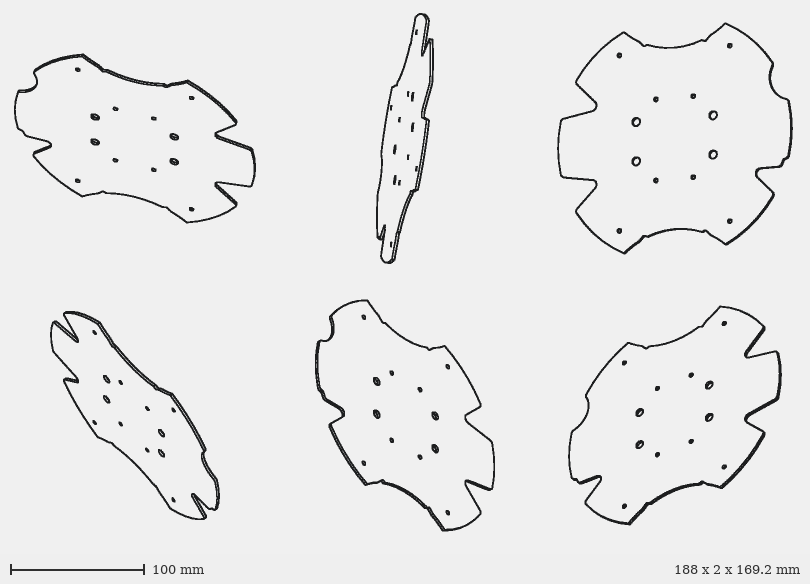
import cadquery as cq
import math

plate_radius = 94.0
thickness = 2.0

scallop_radius = 62.8
scallop_center_z = 132.2
nick_outer = (29.2, 76.7)
nick_root = (24.8, 72.2)
nick_inner = (22.2, 73.45)
nick_root_radius = 1.1

bite_radius = 18.2
bite_center_x = -94.8
bite_center_z = 40.3

flank_offset = 31.2
notch_root_radius = 4.0
notch_reach = 112.9
tab_flank_angle = 9.5
tab_flank_at_center = 37.5

level_flank_z = -28.5
step_corner_x = -85.5
step_top_x = -87.8
step_corner_radius = 2.8
step_top_radius = 1.1

tip_radius = 2.8

small_hole_diameter = 3.0
large_hole_diameter = 6.2
corner_hole_x = 44.5
corner_hole_z = 67.1
pattern_near = 15.0
pattern_far = 31.0


def sketch_plane():
    return cq.Workplane("XZ")


def extrude(outline):
    """Extrude half the thickness to each side of the XZ plane."""
    return outline.extrude(thickness / 2, both=True)


def cylinder(x, z, radius):
    return extrude(sketch_plane().center(x, z).circle(radius))


def prism(points):
    return extrude(sketch_plane().polyline(points).close())


def round_corner(body, point, radius):
    """Round the through-thickness edge nearest to an (x, z) point."""
    x, z = point
    edge = body.edges("|Y").edges(cq.NearestToPointSelector((x, 0, z)))
    return edge.fillet(radius)


def four_way(x, z):
    return [(sx * x, sz * z) for sx in (-1, 1) for sz in (-1, 1)]


def scallop():
    cutter = cylinder(0, scallop_center_z, scallop_radius)
    nick = prism([nick_outer, nick_root, nick_inner, (0, scallop_center_z)])
    nick = round_corner(nick, nick_root, nick_root_radius)
    return cutter.union(nick).union(nick.mirror("YZ"))


def right_notch():
    slope = math.tan(math.radians(tab_flank_angle))
    root_x = (tab_flank_at_center + flank_offset) / (1 + slope)
    root = (root_x, root_x - flank_offset)
    steep_end = (notch_reach, notch_reach - flank_offset)
    shallow_end = (notch_reach, tab_flank_at_center - slope * notch_reach)
    return round_corner(prism([root, shallow_end, steep_end]), root, notch_root_radius)


def lower_left_notch():
    root = (level_flank_z - flank_offset, level_flank_z)
    step_corner = (step_corner_x, level_flank_z)
    rise = math.sqrt(bite_radius**2 - (step_top_x - bite_center_x) ** 2)
    step_top = (step_top_x, rise - bite_center_z)
    bite_top = (bite_center_x, bite_radius - bite_center_z)
    half_angle = math.atan2(step_top_x - bite_center_x, rise) / 2
    arc_middle = (
        bite_center_x + bite_radius * math.sin(half_angle),
        bite_radius * math.cos(half_angle) - bite_center_z,
    )
    cutter = extrude(
        sketch_plane()
        .moveTo(*root)
        .lineTo(*step_corner)
        .lineTo(*step_top)
        .threePointArc(arc_middle, bite_top)
        .lineTo(-notch_reach, bite_top[1])
        .lineTo(-notch_reach, flank_offset - notch_reach)
        .close()
    )
    cutter = round_corner(cutter, root, notch_root_radius)
    cutter = round_corner(cutter, step_corner, step_corner_radius)
    return round_corner(cutter, step_top, step_top_radius)


def rim_points_on_flank():
    """Where the 45 degree flank meets the rim, as positive x and z."""
    half = flank_offset / 2
    x = half + math.sqrt(plate_radius**2 / 2 - half**2)
    return x, x - flank_offset


def rim_points_on_bite():
    """Upper and lower crossings of the bite circle with the rim."""
    distance = math.hypot(bite_center_x, bite_center_z)
    along = (distance**2 + plate_radius**2 - bite_radius**2) / (2 * distance)
    direction = math.atan2(bite_center_z, bite_center_x)
    spread = math.acos(along / plate_radius)
    angles = (direction - spread, direction + spread)
    return [(plate_radius * math.cos(a), plate_radius * math.sin(a)) for a in angles]


def rim_point_on_tab():
    """Where the shallow flank of the right notch meets the rim."""
    angle = math.radians(tab_flank_angle)
    normal_distance = tab_flank_at_center * math.cos(angle)
    direction = math.pi / 2 - angle - math.acos(normal_distance / plate_radius)
    return plate_radius * math.cos(direction), plate_radius * math.sin(direction)


plate = cylinder(0, 0, plate_radius)
for cutter in (scallop(), right_notch()):
    plate = plate.cut(cutter).cut(cutter.mirror("XY"))
plate = plate.cut(cylinder(bite_center_x, bite_center_z, bite_radius))
plate = plate.cut(lower_left_notch())

flank_x, flank_z = rim_points_on_flank()
tab_x, tab_z = rim_point_on_tab()
bite_upper, bite_lower = rim_points_on_bite()
tips = [
    (flank_x, flank_z),
    (flank_x, -flank_z),
    (-flank_x, -flank_z),
    (tab_x, tab_z),
    (tab_x, -tab_z),
    bite_upper,
    bite_lower,
    (bite_lower[0], -bite_lower[1]),
]
for tip in tips:
    plate = round_corner(plate, tip, tip_radius)

small_holes = four_way(corner_hole_x, corner_hole_z) + four_way(pattern_near, pattern_far)
large_holes = four_way(pattern_far, pattern_near)
for x, z in small_holes:
    plate = plate.cut(cylinder(x, z, small_hole_diameter / 2))
for x, z in large_holes:
    plate = plate.cut(cylinder(x, z, large_hole_diameter / 2))

result = plate